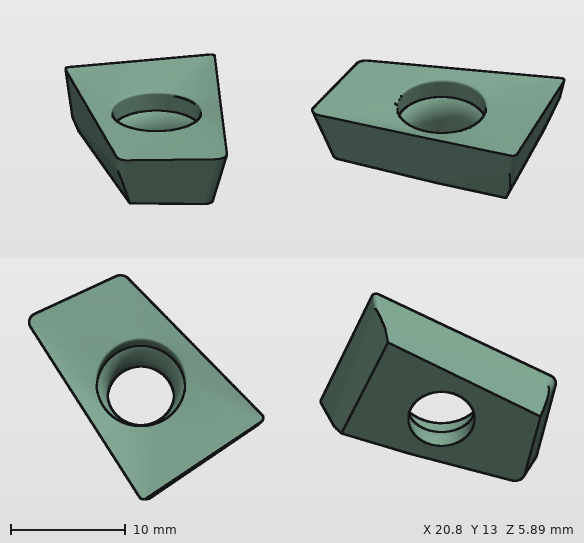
import cadquery as cq
import math

FRONT_LEFT = cq.Vector(-0.06, 0, 5.39)
FRONT_RIGHT = cq.Vector(18.26, 0, 4.76)
BACK_RIGHT = cq.Vector(21.03, 9.13, 5.03)
BACK_LEFT = cq.Vector(1.73, 13.12, 5.89)
TOP_CORNERS = [FRONT_LEFT, FRONT_RIGHT, BACK_RIGHT, BACK_LEFT]
CORNER_RADII = [0.42, 0.94, 0.92, 0.42]

BASE_FRONT_LEFT = cq.Vector(1.79, 0.8, 0)
BASE_FRONT_RIGHT = cq.Vector(17.26, 1.3, 0)
BASE_BACK_RIGHT = cq.Vector(19.47, 8.72, 0)
BASE_BACK_LEFT = cq.Vector(2.95, 11.3, 0)

FRONT_FOLD = cq.Vector(1.3, 0.37, 1.19)
LEFT_FOLD_FRONT = cq.Vector(0.4, 0.6, 3.6)
LEFT_FOLD_BACK = cq.Vector(2.27, 11.84, 2.04)
BACK_FOLD = cq.Vector(2.7, 12.4, 3.52)

HOLE_X = 9.84
HOLE_Y = 5.7
RIM_HEIGHT = 4.95
RIM_RADIUS = 4.08
SEAT_RADIUS = 3.87
BORE_RADIUS = 2.9
SEAT_CURVE_TOP = 3.2
SEAT_CURVE_BOTTOM = 1.4

RIM_ANGLES = [225, 230.6, 334.6, 339.5, 389, 395.5, 502, 508]

BLANK_SIZE = 33.28
BLANK_HEIGHT = 8.32
CUT_SIZE = 83.2
ROOF_FLARE = 1.6
FACET_EXTENSION = 1.06


def cut_flank(body, first, second, third):
    """Remove everything outside the plane through three flank points."""
    normal = (second - first).cross(third - first).normalized()
    inside = cq.Vector(HOLE_X, HOLE_Y, 0)
    if normal.dot(inside - first) > 0:
        normal = normal * -1
    plane = cq.Plane(origin=first, xDir=second - first, normal=normal)
    return body.cut(cq.Workplane(plane).rect(CUT_SIZE, CUT_SIZE).extrude(CUT_SIZE))


def make_upper_body():
    """Blank with four steep flanks and rounded corners."""
    body = cq.Workplane("XY").center(HOLE_X, HOLE_Y).rect(BLANK_SIZE, BLANK_SIZE).extrude(BLANK_HEIGHT)
    body = cut_flank(body, FRONT_LEFT, FRONT_RIGHT, FRONT_FOLD)
    body = cut_flank(body, FRONT_RIGHT, BACK_RIGHT, BASE_BACK_RIGHT)
    body = cut_flank(body, BACK_RIGHT, BACK_LEFT, BACK_FOLD)
    body = cut_flank(body, BACK_LEFT, FRONT_LEFT, LEFT_FOLD_BACK)
    for corner, radius in zip(TOP_CORNERS, CORNER_RADII):
        body = body.edges(cq.selectors.NearestToPointSelector(corner.toTuple())).fillet(radius)
    return body


def relieve_lower_flanks(body):
    """Cut the more strongly inclined lower flanks; the right flank is a single plane."""
    body = cut_flank(body, BASE_FRONT_LEFT, BASE_FRONT_RIGHT, FRONT_FOLD)
    body = cut_flank(body, BASE_BACK_LEFT, BASE_FRONT_LEFT, LEFT_FOLD_FRONT)
    return cut_flank(body, BASE_BACK_RIGHT, BASE_BACK_LEFT, BACK_FOLD)


def corner_tangent_points():
    """Ends of each corner round on the upper outline, counterclockwise."""
    points = []
    for index, (corner, radius) in enumerate(zip(TOP_CORNERS, CORNER_RADII)):
        before = (TOP_CORNERS[index - 1] - corner).normalized()
        after = (TOP_CORNERS[(index + 1) % len(TOP_CORNERS)] - corner).normalized()
        setback = radius / math.tan(before.getAngle(after) / 2)
        points.append(corner + before * setback)
        points.append(corner + after * setback)
    return points


def rim_point(angle):
    turn = math.radians(angle)
    return cq.Vector(HOLE_X + RIM_RADIUS * math.cos(turn), HOLE_Y + RIM_RADIUS * math.sin(turn), RIM_HEIGHT)


def extend_facet(inner, outer):
    """Carry a facet boundary from the rim slightly past the upper outline."""
    return inner + (outer - inner) * FACET_EXTENSION


def roof_point(point):
    """Matching cutter corner at blank height, flared clear of the leaning flanks."""
    return cq.Vector(
        HOLE_X + (point.x - HOLE_X) * ROOF_FLARE,
        HOLE_Y + (point.y - HOLE_Y) * ROOF_FLARE,
        BLANK_HEIGHT,
    )


def make_dish_cutter():
    """Space above the facets that slope from the upper outline down to the hole rim."""
    outline = corner_tangent_points()
    faces = []
    rim_edges = []
    roof_edges = []
    for index, start in enumerate(outline):
        following = (index + 1) % len(outline)
        end = outline[following]
        angle = RIM_ANGLES[index]
        sweep = (RIM_ANGLES[following] - angle) % 360
        rim = cq.Edge.makeThreePointArc(rim_point(angle), rim_point(angle + sweep / 2), rim_point(angle + sweep))
        far_start = extend_facet(rim_point(angle), start)
        far_end = extend_facet(rim_point(angle + sweep), end)
        edge = cq.Edge.makeLine(far_start, far_end)
        roof = cq.Edge.makeLine(roof_point(far_start), roof_point(far_end))
        faces.append(cq.Face.makeRuledSurface(rim, edge))
        faces.append(cq.Face.makeRuledSurface(edge, roof))
        rim_edges.append(rim)
        roof_edges.append(roof)
    faces.append(cq.Face.makeFromWires(cq.Wire.assembleEdges(rim_edges)))
    faces.append(cq.Face.makeFromWires(cq.Wire.assembleEdges(roof_edges)))
    return cq.Workplane(cq.Solid.makeSolid(cq.Shell.makeShell(faces)).fix())


def make_screw_hole():
    """Bore flaring into a convex screw seat, below a straight wall with a rounded rim."""
    step = SEAT_RADIUS - BORE_RADIUS
    drop = SEAT_CURVE_TOP - SEAT_CURVE_BOTTOM
    curve_radius = (step**2 + drop**2) / (2 * step)
    half_turn = math.asin(drop / curve_radius) / 2
    curve_middle = (
        BORE_RADIUS + curve_radius * (1 - math.cos(half_turn)),
        SEAT_CURVE_BOTTOM + curve_radius * math.sin(half_turn),
    )
    rim_round = RIM_RADIUS - SEAT_RADIUS
    profile = (
        cq.Workplane("XZ")
        .moveTo(0, 0)
        .lineTo(BORE_RADIUS, 0)
        .lineTo(BORE_RADIUS, SEAT_CURVE_BOTTOM)
        .threePointArc(curve_middle, (SEAT_RADIUS, SEAT_CURVE_TOP))
        .lineTo(SEAT_RADIUS, RIM_HEIGHT - rim_round)
        .tangentArcPoint((RIM_RADIUS, RIM_HEIGHT), relative=False)
        .lineTo(0, RIM_HEIGHT)
        .close()
    )
    return profile.revolve(360, (0, 0), (0, 1)).translate((HOLE_X, HOLE_Y, 0))


body = relieve_lower_flanks(make_upper_body())
result = body.cut(make_dish_cutter()).cut(make_screw_hole())